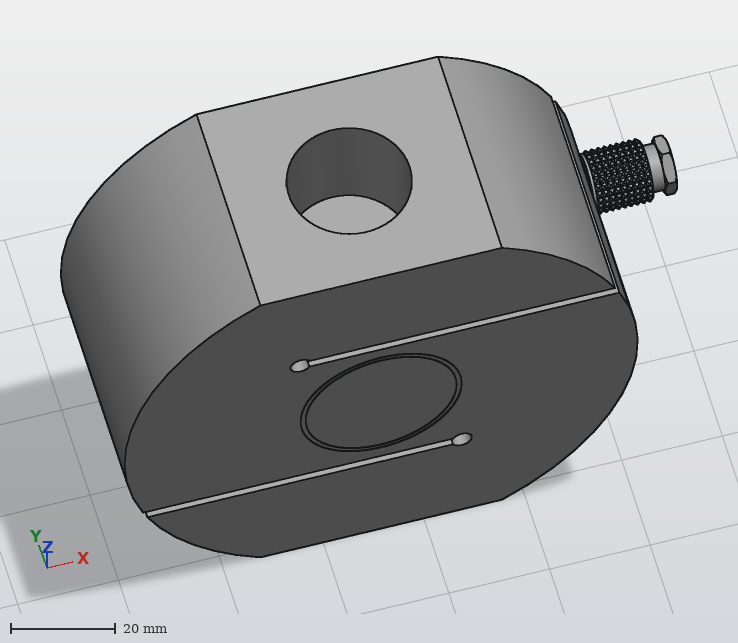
import cadquery as cq
import math

body_radius = 51.0
body_height = 90.0
body_depth = 45.0

slot_offset = 20.0
slot_width = 2.0
slot_end_x = 16.0
relief_diameter = 4.0

load_hole_diameter = 24.0

ring_outer_diameter = 32.0
ring_inner_diameter = 30.0
ring_depth = 0.1

connector_y = 14.5
connector_end_x = 67.88
seat_x = 50.5

knurl_teeth = 24
knurl_tooth_depth = 0.55

base_end_x = 51.2
base_tip_radius = 6.05

collar_radius = 5.85

grip_start_x = 51.9
grip_end_x = 63.0
grip_tip_radius = 6.2
grip_rows = 9

neck_radius = 4.6

nut_across_flats = 10.0
nut_thickness = 2.3
nut_turn = 20.0
nut_bevel_length = 0.4
nut_bevel_depth = 0.7


def cylinder_along_x(radius, start_x, end_x):
    """Solid cylinder on the connector axis."""
    plane = cq.Plane(origin=(start_x, connector_y, 0), xDir=(0, 1, 0), normal=(1, 0, 0))
    return cq.Workplane(plane).circle(radius).extrude(end_x - start_x)


def disc_blank():
    """Round disc along Y, cut flat at the top and bottom."""
    disc = cq.Workplane("XZ").circle(body_radius).extrude(body_depth / 2, both=True)
    return disc.intersect(cq.Workplane("XY").box(2 * body_radius, body_depth, body_height))


def slot_cutter():
    """Upper slot: open at +X, ending in a round relief hole at -X."""
    slot_length = slot_end_x + body_radius
    slot = (
        cq.Workplane("XZ")
        .center(-slot_end_x + slot_length / 2, slot_offset)
        .rect(slot_length, slot_width)
        .extrude(body_depth, both=True)
    )
    relief = (
        cq.Workplane("XZ")
        .center(-slot_end_x, slot_offset)
        .circle(relief_diameter / 2)
        .extrude(body_depth, both=True)
    )
    return slot.union(relief)


def load_hole_cutter():
    """Vertical hole from the top flat down to the upper slot."""
    return (
        cq.Workplane("XY")
        .workplane(offset=slot_offset)
        .circle(load_hole_diameter / 2)
        .extrude(body_height / 2 - slot_offset)
    )


def ring_groove_cutter():
    """Shallow ring groove in the -Y face."""
    return (
        cq.Workplane("XZ", origin=(0, -body_depth / 2, 0))
        .circle(ring_outer_diameter / 2)
        .circle(ring_inner_diameter / 2)
        .extrude(-ring_depth)
    )


def make_body():
    body = disc_blank()
    half_cutter = slot_cutter().union(load_hole_cutter())
    for turn in (0, 180):
        body = body.cut(half_cutter.rotate((0, 0, 0), (0, 1, 0), turn))
    body = body.cut(ring_groove_cutter())
    return body.cut(cylinder_along_x(base_tip_radius, seat_x, body_radius))


def knurled_bar(tip_radius, start_x, end_x, rows):
    """Bar covered in pyramids: straight teeth crossed with a stack of ridged rings."""
    length = end_x - start_x
    root_radius = tip_radius - knurl_tooth_depth

    outline = []
    for step in range(2 * knurl_teeth):
        radius = tip_radius if step % 2 == 0 else root_radius
        angle = math.pi / 2 + step * math.pi / knurl_teeth
        outline.append((radius * math.cos(angle), radius * math.sin(angle)))
    plane = cq.Plane(origin=(start_x, connector_y, 0), xDir=(0, 1, 0), normal=(1, 0, 0))
    toothed_bar = cq.Workplane(plane).polyline(outline).close().extrude(length)

    row_pitch = length / rows
    profile = [(start_x, 0), (start_x, root_radius)]
    for row in range(rows):
        row_start = start_x + row * row_pitch
        profile.append((row_start + row_pitch / 2, tip_radius))
        profile.append((row_start + row_pitch, root_radius))
    profile.append((end_x, 0))
    ridged_rings = (
        cq.Workplane("XY", origin=(0, connector_y, 0))
        .polyline(profile)
        .close()
        .revolve(360, (0, 0, 0), (1, 0, 0))
    )
    return toothed_bar.intersect(ridged_rings)


def make_nut():
    """Hexagonal nut with its corners bevelled at both ends."""
    corner_radius = nut_across_flats / math.sqrt(3)
    start_x = connector_end_x - nut_thickness
    plane = cq.Plane(origin=(start_x, connector_y, 0), xDir=(0, 1, 0), normal=(1, 0, 0))
    hexagon = cq.Workplane(plane).polygon(6, 2 * corner_radius).extrude(nut_thickness)
    hexagon = hexagon.rotate((0, connector_y, 0), (1, connector_y, 0), -nut_turn)

    bevelled_radius = corner_radius - nut_bevel_depth
    bevel_envelope = (
        cq.Workplane("XY", origin=(0, connector_y, 0))
        .moveTo(start_x, 0)
        .lineTo(start_x, bevelled_radius)
        .lineTo(start_x + nut_bevel_length, corner_radius)
        .lineTo(connector_end_x - nut_bevel_length, corner_radius)
        .lineTo(connector_end_x, bevelled_radius)
        .lineTo(connector_end_x, 0)
        .close()
        .revolve(360, (0, 0, 0), (1, 0, 0))
    )
    return hexagon.intersect(bevel_envelope)


def make_connector():
    """Knurled base ring, plain collar, knurled grip, neck and nut in one piece."""
    base = knurled_bar(base_tip_radius, seat_x, base_end_x, 1)
    collar = cylinder_along_x(collar_radius, base_end_x, grip_start_x)
    grip = knurled_bar(grip_tip_radius, grip_start_x, grip_end_x, grip_rows)
    neck = cylinder_along_x(neck_radius, grip_end_x, connector_end_x - nut_thickness)
    return base.union(collar).union(grip).union(neck).union(make_nut())


body = make_body()
connector = make_connector()

result = cq.Compound.makeCompound([body.val(), connector.val()])